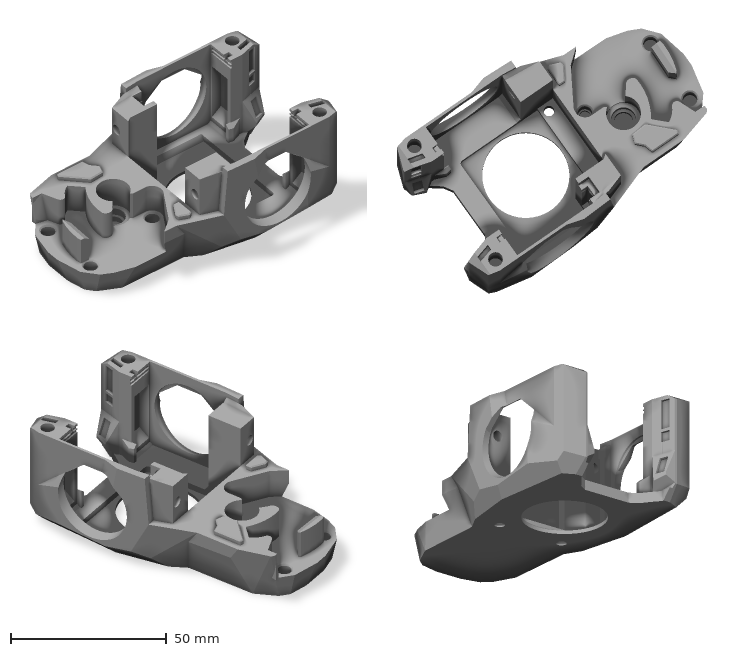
import cadquery as cq


WIDTH = 58.07
LENGTH = 98.56
HEIGHT = 36.34
FRONT_Y = 35.07
REAR_Y = FRONT_Y - LENGTH
DECK_Z = 18.7
LEDGE_Z = 8.4
FLOOR_Z = 3.5
RECESS_Z = 1.2
MARGIN = 100.0

WALL_INNER_X = 25.6
TOWER_INNER_X = 15.3
TOWER_BACK_Y = 21.3
BLOCK_FRONT_Y = -8.7
BLOCK_BACK_Y = -21.3
BLOCK_TOP_Z = 33.6
WALL_END_INNER_X = 24.9
SHOULDER_Y = -15.2
SHOULDER_X = 27.7
NOSE_X = 18.5
WAIST_Y = -30.6
WAIST_X = 22.4
NOSE_BEVEL_Z = 4.8
FRAME_BOTTOM_X = 25.1

LUG_TOP_Z = 16.5
NOSE_EDGE = (-17.8, 34.8)
HEEL_EDGE = (-TOWER_INNER_X, 26.2)
LUG_TIP = (-12.8, 30.0, 7.2)

FLOOR_HOLE_D = 28.0
SIDE_HOLE_Y = 6.3
SIDE_HOLE_D = 26.4
SIDE_HOLE_OUTER_Z = 17.8
SIDE_HOLE_INNER_Z = 19.7
SIDE_HOLE_TOP_Z = 30.9
LEDGE_SCREW_D = 3.4
LEDGE_SCREW_X = 12.55
LEDGE_SCREW_Y = -17.9
BLOCK_SCREW_D = 3.7
BLOCK_SCREW_X = 20.4
BLOCK_SCREW_Z = 25.9
TOWER_HOLE_D = 4.7
TOWER_HOLE_X = 22.7
TOWER_HOLE_Y = 27.8
TOWER_HOLE_DEPTH = 10.0
PIVOT = (-4.2, -35.4)
PIVOT_CLEARANCE_D = 11.2
PIVOT_BORE_D = 8.1
PIVOT_SEAT_D = 6.2
PIVOT_BORE_Z = 5.0
PIVOT_SEAT_Z = 3.0
PIN_D = 4.7
PIN_MOUTH_D = 5.7
PIN_CORE_D = 3.7
PIN_POINTS = [(4.6, -26.4), (-11.0, -56.7), (11.1, -56.7)]
PIN_Z = 3.0
PIN_CORE_Z = 1.5


def prism(points, bottom, top):
    """Closed polygon in plan, extruded between two levels."""
    base = cq.Workplane("XY").workplane(offset=bottom)
    return base.polyline(points).close().extrude(top - bottom)


def box(x0, x1, y0, y1, z0, z1):
    """Upright box given by its limits."""
    return prism([(x0, y0), (x1, y0), (x1, y1), (x0, y1)], z0, z1)


def cylinder(point, diameter, bottom, top):
    """Upright cylinder between two levels."""
    base = cq.Workplane("XY").workplane(offset=bottom).center(*point)
    return base.circle(diameter / 2).extrude(top - bottom)


def mirrored(shape):
    return shape.mirror("YZ")


def both_sides(shape):
    return shape.union(mirrored(shape))


def outside(a, b, c, inside=(0.0, 0.0, 10.0)):
    """Large block on the far side of the plane through a, b, c, seen from an inside point."""
    a, b, c = cq.Vector(*a), cq.Vector(*b), cq.Vector(*c)
    normal = (b - a).cross(c - a)
    if normal.dot(cq.Vector(*inside) - a) > 0:
        normal = normal * -1
    plane = cq.Plane(origin=a.toTuple(), xDir=(b - a).toTuple(), normal=normal.toTuple())
    return cq.Workplane(plane).rect(4 * MARGIN, 4 * MARGIN).extrude(MARGIN)


def facet(body, a, b, c, inside=(0.0, 0.0, 10.0)):
    """Trim the body with a plane and with its mirror image."""
    tool = outside(a, b, c, inside)
    return body.cut(tool).cut(mirrored(tool))


def frame_block():
    """Front body with the two side walls, still solid inside."""
    nose_corner = (-25.6, 32.6)
    cheek = (-WIDTH / 2, 18.1)
    half = [(-NOSE_X, FRONT_Y), nose_corner, cheek, (-SHOULDER_X, SHOULDER_Y), (-SHOULDER_X, WAIST_Y)]
    outline = half + [(-x, y) for x, y in reversed(half)]
    body = prism(outline, 0, HEIGHT)

    shoulder = (-SHOULDER_X, SHOULDER_Y, DECK_Z)
    waist = (-WAIST_X, WAIST_Y, DECK_Z)
    knee = (-25.6, -14.7, 3.9)
    belly_front = (-26.3, 30.0, 3.3)
    belly_rear = (-FRAME_BOTTOM_X, -0.6, 0)
    belly_end = (-21.8, -18.9, 0)
    body = facet(body, shoulder, waist, knee)
    body = facet(body, waist, knee, belly_end)
    body = facet(body, belly_front, belly_rear, (*cheek, 5.4))
    body = facet(body, belly_rear, belly_end, (-28.1, 0, 3.6))

    nose_inside = (0, 0, 20)
    body = facet(body, (-1, FRONT_Y, 34.3), (1, FRONT_Y, 34.3), (0, 32.0, HEIGHT), nose_inside)
    body = facet(body, (-1, FRONT_Y, NOSE_BEVEL_Z), (1, FRONT_Y, NOSE_BEVEL_Z), (0, 30.6, 0), nose_inside)
    return facet(body, (-NOSE_X, FRONT_Y, NOSE_BEVEL_Z), (*nose_corner, 5.9), belly_front, nose_inside)


def rear_block():
    """Tapered rear body up to deck level."""
    inside = (0, -40, 8)
    body = box(-WAIST_X, WAIST_X, REAR_Y, -15, 0, DECK_Z)
    flank = (-18.4, -49.5, 0)
    flank_top = (-WAIST_X, -43.8, 14.2)
    horn = (-19.5, -57.2, DECK_Z)
    heel = (-14.7, -57.1, 0)
    tail = (-11.7, -59.6, 0)
    tail_top = (-11.8, -61.4, LEDGE_Z)
    tip = (-4.0, -61.1, 0)
    body = facet(body, (-18.65, -24.3, 0), flank, flank_top, inside)
    body = facet(body, (-WAIST_X, -46.4, DECK_Z), flank, horn, inside)
    body = facet(body, horn, flank, heel, inside)
    body = facet(body, heel, tail, tail_top, inside)
    body = facet(body, tail, (-2.3, REAR_Y, LEDGE_Z), tail_top, inside)
    body = facet(body, tip, (4.0, -61.1, 0), (0, REAR_Y, LEDGE_Z), inside)
    return body


def wall_end_cutter():
    """Space above the deck, behind the slightly leaning ends of the side walls."""
    profile = [(-13.7, HEIGHT), (SHOULDER_Y, DECK_Z), (-MARGIN, DECK_Z), (-MARGIN, HEIGHT)]
    return cq.Workplane("YZ").polyline(profile).close().extrude(MARGIN, both=True)


def wall_recess():
    """Shallow recess in the upper outer face of the -X wall, ending in two slanted facets."""
    recess_x = -26.5
    crown = (recess_x, 13.9, 28.6)
    keep = (-28, 15, 35)
    front_part = box(-MARGIN, recess_x, crown[1], 30.0, 10, HEIGHT)
    front_part = front_part.cut(outside((recess_x, 28.8, 15.5), (-28.9, 19.5, 19.3), crown, keep))
    rear_part = box(-MARGIN, recess_x, -5, crown[1], 26, HEIGHT)
    rear_inner_top = (recess_x, 2.7, HEIGHT)
    rear_inner_low = (recess_x, 3.8, SIDE_HOLE_TOP_Z)
    rear_outer_top = (-28.1, -2.8, HEIGHT)
    rear_part = rear_part.cut(outside(rear_inner_top, rear_inner_low, rear_outer_top, keep))
    return front_part.union(rear_part)


def side_hole():
    """Round opening rising inwards through the -X wall, with a flat, bevelled outer crown."""
    outer_x = -WIDTH / 2 - 0.5
    inner_x = -WALL_INNER_X + 0.5
    hole = (
        cq.Workplane("YZ", origin=(outer_x, SIDE_HOLE_Y, SIDE_HOLE_OUTER_Z))
        .circle(SIDE_HOLE_D / 2)
        .workplane(offset=inner_x - outer_x)
        .center(0, SIDE_HOLE_INNER_Z - SIDE_HOLE_OUTER_Z)
        .circle(SIDE_HOLE_D / 2)
        .loft()
    )
    crown_half = 4.7
    bevel = 15.0
    drop = 0.85 * bevel
    outline = [
        (-crown_half - bevel, -MARGIN),
        (-crown_half - bevel, SIDE_HOLE_TOP_Z - drop),
        (-crown_half, SIDE_HOLE_TOP_Z),
        (crown_half, SIDE_HOLE_TOP_Z),
        (crown_half + bevel, SIDE_HOLE_TOP_Z - drop),
        (crown_half + bevel, -MARGIN),
    ]
    crown_depth_x = -26.1
    crown_plane = cq.Workplane("YZ", origin=(crown_depth_x, SIDE_HOLE_Y, 0))
    window = crown_plane.polyline(outline).close().extrude(-MARGIN)
    inner = hole.intersect(box(crown_depth_x, 0, -MARGIN, MARGIN, 0, MARGIN))
    return hole.intersect(window).union(inner)


def interior():
    """Space between the side walls, between the towers and above the posts."""
    cavity = box(-WALL_INNER_X, WALL_INNER_X, BLOCK_FRONT_Y, TOWER_BACK_Y, FLOOR_Z, HEIGHT)
    middle = box(-TOWER_INNER_X, TOWER_INNER_X, BLOCK_BACK_Y, MARGIN, FLOOR_Z, HEIGHT)
    above = prism(
        [
            (WALL_INNER_X, BLOCK_FRONT_Y),
            (WALL_END_INNER_X, SHOULDER_Y),
            (-WALL_END_INNER_X, SHOULDER_Y),
            (-WALL_INNER_X, BLOCK_FRONT_Y),
        ],
        BLOCK_TOP_Z,
        HEIGHT,
    )
    return cavity.union(middle).union(above)


def floor_recess():
    """Rectangular recess around the floor opening; its -X side has a sloped edge."""
    left, right = -21.8, TOWER_INNER_X
    front, rear = 15.4, -15.25
    slope = 1.2
    corner = 1.2
    wide = box(left, right, BLOCK_FRONT_Y, front, RECESS_Z, FLOOR_Z)
    wide = wide.edges("|Z and >X and >Y").fillet(corner)
    narrow = box(-TOWER_INNER_X, right, rear, BLOCK_FRONT_Y, RECESS_Z, FLOOR_Z)
    edge = (
        cq.Workplane("XZ", origin=(0, front, 0))
        .polyline([(left, RECESS_Z), (left, FLOOR_Z), (left - slope, FLOOR_Z)])
        .close()
        .extrude(front - BLOCK_FRONT_Y)
    )
    return wide.union(narrow).union(edge)


def floor_holes():
    """Large opening and two screw holes through the floor."""
    holes = cylinder((0, 0), FLOOR_HOLE_D, -1, FLOOR_Z + 1)
    for x in (-LEDGE_SCREW_X, LEDGE_SCREW_X):
        holes = holes.union(cylinder((x, LEDGE_SCREW_Y), LEDGE_SCREW_D, -1, FLOOR_Z + 1))
    return holes


def nose_notch():
    """Opening in the front edge of the floor."""
    half = [(-16.5, MARGIN), (-16.5, 30.0), (-14.0, 27.0), (-11.9, 24.1), (-8.8, 22.2)]
    return prism(half + [(-x, y) for x, y in reversed(half)], -1, HEIGHT)


def block():
    """Post leaning against the wall, with a sloped strip along its top outer edge."""
    outer_front = (24.0, BLOCK_FRONT_Y)
    outer_back = (22.8, BLOCK_BACK_Y)
    wall_front = (WALL_INNER_X, BLOCK_FRONT_Y)
    wall_end = (WALL_END_INNER_X, SHOULDER_Y)
    post = prism(
        [
            (TOWER_INNER_X, BLOCK_FRONT_Y),
            wall_front,
            wall_end,
            outer_back,
            (TOWER_INNER_X, BLOCK_BACK_Y),
        ],
        DECK_Z - 1,
        BLOCK_TOP_Z,
    )
    strip_rise = 1.0
    strip = prism([outer_front, wall_front, wall_end, outer_back], BLOCK_TOP_Z - 1, HEIGHT)
    strip = strip.cut(
        outside(
            (*outer_front, BLOCK_TOP_Z),
            (*outer_back, BLOCK_TOP_Z),
            (*wall_end, BLOCK_TOP_Z + strip_rise),
        )
    )
    return post.union(strip)


def block_extras():
    """Flared rear corner of the -X post and a low ramp in front of the +X post."""
    inner = TOWER_INNER_X
    flare = prism([(-inner, -19.8), (-14.2, BLOCK_BACK_Y), (-inner, BLOCK_BACK_Y)], FLOOR_Z, BLOCK_TOP_Z)
    ramp_size = 1.5
    ramp_profile = [
        (BLOCK_FRONT_Y, FLOOR_Z),
        (BLOCK_FRONT_Y, FLOOR_Z + ramp_size),
        (BLOCK_FRONT_Y + ramp_size, FLOOR_Z),
    ]
    ramp = (
        cq.Workplane("YZ", origin=(inner, 0, 0))
        .polyline(ramp_profile)
        .close()
        .extrude(WALL_INNER_X - inner)
    )
    return flare.union(ramp)


def block_screw():
    """Screw hole running lengthwise through the post."""
    return (
        cq.Workplane("XZ", origin=(BLOCK_SCREW_X, 0, BLOCK_SCREW_Z))
        .circle(BLOCK_SCREW_D / 2)
        .extrude(-BLOCK_BACK_Y)
    )


def cable_channel():
    """Channel in the front face of the -X post, wider at its mouth."""
    channel = box(-22.9, -18.9, -11.0, BLOCK_FRONT_Y, FLOOR_Z, HEIGHT)
    mouth_depth = 4.0
    mouth = box(-23.4, -17.2, -12.6, BLOCK_FRONT_Y, BLOCK_TOP_Z - mouth_depth, BLOCK_TOP_Z)
    return channel.union(mouth)


def tower_trim():
    """Space beside the slanted inner face of the tower."""
    return prism([(-NOSE_X, MARGIN), NOSE_EDGE, HEEL_EDGE, (0, HEEL_EDGE[1]), (0, MARGIN)], FLOOR_Z, HEIGHT)


def lug():
    """Wedge that widens the inner face of the tower towards the bottom."""
    nose = (-14.5, 34.5)
    root = (-NOSE_X, FRONT_Y)
    body = prism([root, nose, LUG_TIP[:2], HEEL_EDGE, (-18.0, HEEL_EDGE[1])], 0, LUG_TOP_Z)
    body = body.cut(outside((*NOSE_EDGE, LUG_TOP_Z), (*HEEL_EDGE, LUG_TOP_Z), LUG_TIP, (-20, 30, 5)))
    root_low = (*root, NOSE_BEVEL_Z)
    nose_low = (*nose, LUG_TIP[2])
    heel_low = (-14.3, 26.9, FLOOR_Z)
    return body.cut(outside(root_low, nose_low, heel_low, (-17, 30, 12)))


def lug_slots():
    """Two upright slots in the inner face of the tower and one in the wedge face."""
    nose = cq.Vector(*NOSE_EDGE, LUG_TOP_Z)
    heel = cq.Vector(*HEEL_EDGE, LUG_TOP_Z)
    tip = cq.Vector(*LUG_TIP)
    width = 3.4
    depth = 1.0
    along = heel - nose
    middle = nose + along * 0.42
    slots = cq.Workplane("XY")

    upright = cq.Plane(origin=middle.toTuple(), xDir=along.toTuple(), normal=(-along.y, along.x, 0))
    wedge_normal = along.cross(tip - nose)
    if wedge_normal.x < 0:
        wedge_normal = wedge_normal * -1
    wedge = cq.Plane(origin=middle.toTuple(), xDir=along.toTuple(), normal=wedge_normal.toTuple())
    for plane, low, high in ((upright, -8.5, -18.5), (upright, -4.0, -7.5), (wedge, 2.0, 8.5)):
        slot = cq.Workplane(plane).center(0, (low + high) / 2).rect(width, abs(high - low))
        slots = slots.union(slot.extrude(depth, both=True))
    return slots


def tower_top_slots():
    """Slanted slot, square notch and hole in the top of the tower."""
    slot_floor = HEIGHT - 2.5
    slanted = prism([(-20.5, 32.1), (-18.7, 32.1), (-17.4, 27.1), (-19.2, 27.1)], slot_floor, HEIGHT)
    notch = box(-18.9, -17.0, TOWER_BACK_Y, 23.5, slot_floor, HEIGHT)
    hole = cylinder((-TOWER_HOLE_X, TOWER_HOLE_Y), TOWER_HOLE_D, HEIGHT - TOWER_HOLE_DEPTH, HEIGHT)
    return slanted.union(notch).union(hole)


def tower_back_pocket():
    """Deep pocket with a sloped floor and two shallow grooves in the rear face of the tower."""
    x0, x1 = -25.0, -16.9
    profile = [(TOWER_BACK_Y, 6.2), (25.0, 9.0), (25.0, 27.5), (TOWER_BACK_Y, 27.5)]
    pocket = cq.Workplane("YZ", origin=(x0, 0, 0)).polyline(profile).close().extrude(x1 - x0)
    groove_back = TOWER_BACK_Y + 0.6
    for low, high in ((32.9, 33.9), (34.3, 35.4)):
        pocket = pocket.union(box(-25.1, -TOWER_INNER_X, TOWER_BACK_Y, groove_back, low, high))
    return pocket


def tower_foot():
    """Sloped foot along the rear face and an upright rib at its inner end."""
    foot_y = 20.1
    profile = [(TOWER_BACK_Y, FLOOR_Z), (foot_y, FLOOR_Z), (TOWER_BACK_Y, 4.4)]
    foot = (
        cq.Workplane("YZ", origin=(-WALL_INNER_X, 0, 0))
        .polyline(profile)
        .close()
        .extrude(WALL_INNER_X - TOWER_INNER_X)
    )
    rib = prism([(-15.5, 25.6), (-13.8, 21.4), (-14.1, 19.5), (-15.5, 19.5)], FLOOR_Z, 10.2)
    rib = rib.cut(outside((-15.3, 19.5, 10.2), (-15.3, 25.6, 10.2), (-13.8, 21.4, 8.8), (-15.3, 22, 5)))
    return foot.union(rib)


def platform_pocket():
    """Space above the lowered platform, bounded by the edge of the deck."""
    return (
        cq.Workplane("XY")
        .workplane(offset=LEDGE_Z)
        .moveTo(MARGIN, -35.4)
        .lineTo(22.3, -35.4)
        .lineTo(18.4, -30.5)
        .lineTo(6.5, -23.3)
        .threePointArc((2.9, -23.4), (1.1, -26.0))
        .lineTo(1.1, -31.4)
        .lineTo(-2.0, -35.4)
        .lineTo(0.0, -39.0)
        .lineTo(2.4, -41.0)
        .threePointArc((3.9, -43.3), (2.6, -45.2))
        .threePointArc((-4.4, -44.6), (-10.9, -41.5))
        .lineTo(-15.0, -45.6)
        .threePointArc((-13.6, -47.7), (-11.6, -49.3))
        .threePointArc((-10.6, -51.2), (-11.6, -52.3))
        .lineTo(-17.1, -54.5)
        .lineTo(-17.6, -MARGIN)
        .lineTo(MARGIN, -MARGIN)
        .close()
        .extrude(MARGIN)
    )


def horn_trim():
    """Space behind the blunt end of the deck horn."""
    return box(-MARGIN, -15.0, -MARGIN, -58.1, LEDGE_Z, MARGIN)


def horn_slope():
    """Sloped face from the deck horn down to the platform."""
    deck_in = (-17.1, -54.5)
    deck_out = (-17.6, -58.1)
    foot_in = (-15.1, -53.8)
    foot_out = (-16.0, -57.9)
    wedge = prism([deck_in, foot_in, foot_out, deck_out], LEDGE_Z, DECK_Z)
    return wedge.cut(outside((*deck_in, DECK_Z), (*deck_out, DECK_Z), (*foot_in, LEDGE_Z), (-18, -56, 10)))


def pads():
    """Two raised pads with bevelled rims on the deck."""
    top = 20.55
    bevel = 0.4
    corner = 0.5
    outlines = [
        [
            (-20.2, -35.5),
            (-17.2, -34.7),
            (-14.8, -32.4),
            (-11.8, -33.5),
            (-11.4, -38.8),
            (-18.9, -46.2),
            (-20.2, -45.9),
        ],
        [(14.8, -23.5), (21.4, -23.5), (22.2, -24.8), (20.7, -28.3), (19.3, -28.5), (14.8, -25.8)],
    ]
    shape = cq.Workplane("XY")
    for outline in outlines:
        shape = shape.union(prism(outline, DECK_Z, top).edges("|Z").fillet(corner).faces(">Z").chamfer(bevel))
    return shape


def curved_rib():
    """Curved upright rib on the platform; its top falls away towards the front."""
    top = 18.2
    rib = (
        cq.Workplane("XY")
        .workplane(offset=LEDGE_Z)
        .moveTo(-3.2, -56.8)
        .lineTo(-1.3, -55.0)
        .lineTo(8.6, -55.3)
        .lineTo(8.6, -58.6)
        .lineTo(7.2, -58.9)
        .threePointArc((2.2, -58.6), (-2.6, -57.4))
        .close()
        .extrude(top - LEDGE_Z)
    )
    return rib.cut(outside((-3, -56.9, top), (8, -57.3, top), (0, -55.0, top - 1.2), (0, -57, LEDGE_Z)))


def platform_holes():
    """Stepped pivot bore and three pin holes with bevelled mouths."""
    counterbore_z = LEDGE_Z - 0.8
    holes = cylinder(PIVOT, PIVOT_CLEARANCE_D, counterbore_z, MARGIN)
    holes = holes.union(cylinder(PIVOT, PIVOT_BORE_D, PIVOT_BORE_Z, counterbore_z))
    holes = holes.union(cylinder(PIVOT, PIVOT_SEAT_D, PIVOT_SEAT_Z, PIVOT_BORE_Z))
    bevel = (PIN_MOUTH_D - PIN_D) / 2
    for point in PIN_POINTS:
        mouth = cq.Solid.makeCone(PIN_D / 2, PIN_MOUTH_D / 2, bevel, cq.Vector(*point, LEDGE_Z - bevel))
        holes = holes.union(cq.Workplane(mouth)).union(cylinder(point, PIN_D, PIN_Z, LEDGE_Z))
    core = cylinder(PIN_POINTS[0], PIN_CORE_D, PIN_CORE_Z, PIN_Z)
    return holes.union(core)


result = frame_block().cut(wall_end_cutter()).union(rear_block())
result = result.cut(both_sides(wall_recess())).cut(interior()).cut(nose_notch()).cut(both_sides(tower_trim()))
result = result.union(both_sides(block())).union(block_extras())
result = result.union(both_sides(lug())).union(both_sides(tower_foot()))
result = result.cut(both_sides(side_hole())).cut(both_sides(block_screw()))
result = result.cut(cable_channel()).cut(floor_recess()).cut(floor_holes())
result = result.cut(both_sides(lug_slots().union(tower_top_slots()).union(tower_back_pocket())))
result = result.cut(platform_pocket()).cut(horn_trim()).union(horn_slope())
result = result.union(pads()).union(curved_rib()).cut(platform_holes())